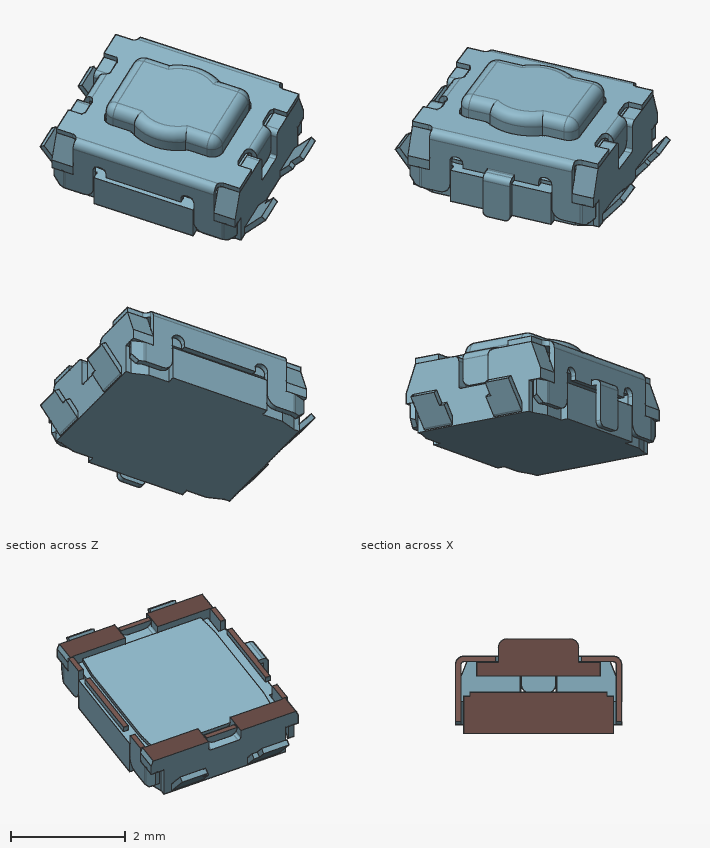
import cadquery as cq
import math

total_length = 4.31
body_length = 3.5
body_width = 2.895
total_height = 1.7
back_overhang = 0.203
cover_height = 1.35
half_length = body_length / 2
half_width = body_width / 2
beyond = total_length

sheet = 0.1
bend_outer = 0.15
bend_inner = bend_outer - sheet
plate_underside = cover_height - sheet
notch_radius = sheet
wall_half_length = 1.345
corner_notch_depth = 0.2
wall_inner = half_width - sheet

leg_bottom = 0.15
leg_inner = 0.96
leg_foot_radius = 0.2
skirt_half_length = 0.715
skirt_bottom = 0.75
relief_top = 0.953

flare_angle = 20.0
flare_start = 1.495
flare_inner_radius = 0.015
flare_chamfer = 0.14

tongue_half_width = 0.3
tongue_bend_start = 1.495
tongue_bottom = 0.705
tongue_corner = 0.15
end_notch_inner = 1.452
end_notch_half_width = 0.75

lug_half_width = 0.255
lug_inner_radius = 0.015
lug_corner = 0.1
lug_outer = half_width + back_overhang
lug_top = skirt_bottom + sheet

button_half_length = 1.1
button_half_width = 0.75
button_bulge_radius = 0.895
button_corner = 0.203
button_edge = 0.2
button_clearance = 0.025
bulge_clearance = 0.05

ear_bottom = 0.56
ear_slope_start = 0.75
ear_slope_inset = corner_notch_depth
floor_half_width = 1.305
floor_edge_top = 0.65
floor_top = 0.72
floor_step_corner = 0.892
floor_step_width = 1.205
floor_step_side = 1.165
corner_flat_width = 1.2
corner_flat_length = 1.645
block_half_length = 0.95

slot_half_width = 0.315
slot_bottom_radius = 0.05
slot_top_radius = 0.1

flange_half_length = 1.495
flange_half_width = 1.078
flange_bottom = 1.0
flange_gap = 0.01
flange_top = plate_underside - flange_gap

terminal_angle = 52.0
terminal_tip_height = 0.535
terminal_bend_radius = 0.12
terminal_outer = 1.05
terminal_step = 0.55
terminal_inner = 0.45
short_arm_tip = 1.995


def block(x0, x1, y0, y1, z0, z1):
    """Axis-aligned box between two opposite corners."""
    return cq.Workplane("XY").box(x1 - x0, y1 - y0, z1 - z0, centered=False).translate((x0, y0, z0))


def centred_block(half_x, half_y, z0, z1):
    """Box centred on the Z axis."""
    return block(-half_x, half_x, -half_y, half_y, z0, z1)


def mirrored_x(shape):
    return shape.union(shape.mirror("YZ"))


def mirrored_y(shape):
    return shape.union(shape.mirror("XZ"))


def bent_sheet(half_span, bottom, half_run):
    """Upside-down U of sheet metal in the YZ plane, run along X to half_run on both sides."""
    outer = (
        cq.Workplane("YZ").rect(2 * half_span, 2 * (cover_height - bottom))
        .extrude(half_run, both=True).edges("|X and >Z").fillet(bend_outer)
    )
    inner = (
        cq.Workplane("YZ").rect(2 * (half_span - sheet), 2 * (plate_underside - bottom))
        .extrude(half_run, both=True).edges("|X and >Z").fillet(bend_inner)
    )
    upper_half = centred_block(beyond, beyond, 0, beyond)
    return outer.cut(inner).intersect(upper_half).translate((0, 0, bottom))


def button_outline(half_length, half_width_y, bulge_radius, z0, z1):
    """Rounded rectangle with a round bulge in the middle of its long sides."""
    height = z1 - z0
    bar = (
        cq.Workplane("XY").workplane(offset=z0).rect(2 * half_length, 2 * half_width_y)
        .extrude(height).edges("|Z").fillet(button_corner)
    )
    bulge = cq.Workplane("XY").workplane(offset=z0).circle(bulge_radius).extrude(height)
    return bar.union(bulge)


def corner_notches():
    """Cut-outs that separate the side walls from the ends of the plate."""
    plate_edge = half_width - corner_notch_depth
    notch = block(wall_half_length, beyond, plate_edge, beyond, 0, beyond)
    notch = notch.edges("|Z and <X and <Y").fillet(notch_radius)
    return mirrored_y(mirrored_x(notch))


def wall_window():
    """Opening between the legs: low middle skirt, round-topped relief slots, rounded feet."""
    skirt_opening = centred_block(leg_inner, beyond, 0, skirt_bottom)
    relief_radius = (leg_inner - skirt_half_length) / 2
    relief_centre = skirt_half_length + relief_radius
    relief_centre_z = relief_top - relief_radius
    relief_end = (
        cq.Workplane("XZ").center(relief_centre, relief_centre_z)
        .circle(relief_radius).extrude(beyond, both=True)
    )
    relief = block(skirt_half_length, leg_inner, -beyond, beyond, 0, relief_centre_z).union(relief_end)
    foot = (
        cq.Workplane("XZ").moveTo(leg_inner, leg_bottom)
        .lineTo(leg_inner + leg_foot_radius, leg_bottom)
        .radiusArc((leg_inner, leg_bottom + leg_foot_radius), leg_foot_radius)
        .close().extrude(beyond, both=True)
    )
    return skirt_opening.union(mirrored_x(relief.union(foot)))


def leg_flare():
    """End of a leg at +X, +Y, bent inward around the base corner."""
    angle = math.radians(flare_angle)
    centre_y = wall_inner - flare_inner_radius
    outer_radius = flare_inner_radius + sheet

    def on_bend(radius, turn):
        return (flare_start + radius * math.sin(turn), centre_y + radius * math.cos(turn))

    outer_end = on_bend(outer_radius, angle)
    inner_end = on_bend(flare_inner_radius, angle)
    run = (half_length - outer_end[0]) / math.cos(angle)
    step = (run * math.cos(angle), -run * math.sin(angle))
    flare = (
        cq.Workplane("XY").workplane(offset=leg_bottom)
        .moveTo(wall_half_length, half_width)
        .lineTo(flare_start, half_width)
        .threePointArc(on_bend(outer_radius, angle / 2), outer_end)
        .lineTo(outer_end[0] + step[0], outer_end[1] + step[1])
        .lineTo(inner_end[0] + step[0], inner_end[1] + step[1])
        .lineTo(*inner_end)
        .threePointArc(on_bend(flare_inner_radius, angle / 2), (flare_start, wall_inner))
        .lineTo(wall_half_length, wall_inner)
        .close().extrude(ear_bottom - leg_bottom)
    )
    corner = (
        cq.Workplane("XZ").moveTo(half_length, leg_bottom)
        .lineTo(half_length - flare_chamfer, leg_bottom)
        .lineTo(half_length, leg_bottom + flare_chamfer)
        .close().extrude(-beyond)
    )
    return flare.cut(corner)


def end_tongues():
    """Strips bent down from both ends of the plate, still wider than the finished tongues."""
    strip_half_width = tongue_half_width + notch_radius
    strip = bent_sheet(tongue_bend_start + bend_outer, tongue_bottom, strip_half_width)
    return strip.rotate((0, 0, 0), (0, 0, 1), 90)


def end_notches():
    """Clearances on both sides of each tongue, rounded at their inner corners."""
    notch = block(end_notch_inner, beyond, tongue_half_width, end_notch_half_width, 0, beyond)
    notch = notch.edges("|Z and <X").fillet(notch_radius)
    return mirrored_y(mirrored_x(notch))


def tongue_corner_cut():
    """Material outside the rounded lower corners of the tongues."""
    corner_top = tongue_bottom + tongue_corner
    strip = centred_block(beyond, tongue_half_width, tongue_bottom, corner_top)
    rounded = centred_block(beyond, tongue_half_width, tongue_bottom, total_height)
    return strip.cut(rounded.edges("|X and <Z").fillet(tongue_corner))


def ground_lug():
    """Lug bent out from the skirt of the +Y wall and down to the mounting plane."""
    outer = block(-lug_half_width, lug_half_width, wall_inner, lug_outer, 0, lug_top)
    outer = outer.edges("|X and >Y and >Z").fillet(lug_inner_radius + sheet)
    inner = block(-lug_half_width, lug_half_width, 0, lug_outer - sheet, 0, skirt_bottom)
    inner = inner.edges("|X and >Y and >Z").fillet(lug_inner_radius)
    return outer.cut(inner).edges("|Y and <Z").fillet(lug_corner)


def make_cover():
    shell = bent_sheet(half_width, leg_bottom, half_length)
    end_cut = block(tongue_bend_start, beyond, -end_notch_half_width, end_notch_half_width, 0, beyond)
    shell = shell.cut(mirrored_x(end_cut)).cut(corner_notches()).cut(wall_window())
    tongues = end_tongues().cut(tongue_corner_cut())
    shell = shell.union(tongues).cut(end_notches())
    shell = shell.union(mirrored_y(mirrored_x(leg_flare()))).union(ground_lug())
    lug_root = cq.selectors.NearestToPointSelector((0, half_width, lug_top))
    shell = shell.edges(lug_root).fillet(lug_inner_radius)
    opening = button_outline(
        button_half_length + button_clearance,
        button_half_width + button_clearance,
        button_bulge_radius + bulge_clearance,
        0,
        beyond,
    )
    return shell.cut(opening)


def floor_slab():
    """Floor with cut-back corners, a raised middle and a block between the legs of each wall."""
    quarter = (
        cq.Workplane("XY")
        .lineTo(half_length, 0)
        .lineTo(half_length, corner_flat_width)
        .lineTo(corner_flat_length, corner_flat_width)
        .lineTo(wall_half_length, floor_half_width)
        .lineTo(0, floor_half_width)
        .close().extrude(ear_bottom)
    )
    raised_quarter = (
        cq.Workplane("XY")
        .lineTo(wall_half_length, 0)
        .lineTo(wall_half_length, floor_step_side)
        .lineTo(floor_step_corner, floor_step_width)
        .lineTo(0, floor_step_width)
        .close().extrude(floor_top)
    )
    slab = mirrored_y(mirrored_x(quarter.union(raised_quarter)))
    slab = slab.union(centred_block(wall_half_length, floor_half_width, 0, floor_edge_top))
    return slab.union(centred_block(block_half_length, half_width, 0, floor_edge_top))


def end_wall():
    """End wall at +X with sloped ears and a slot for the cover tongue."""
    slope_top = half_width - ear_slope_inset
    wall = (
        cq.Workplane("YZ").workplane(offset=wall_half_length)
        .moveTo(-half_width, ear_bottom)
        .lineTo(half_width, ear_bottom)
        .lineTo(half_width, ear_slope_start)
        .lineTo(slope_top, plate_underside)
        .lineTo(-slope_top, plate_underside)
        .lineTo(-half_width, ear_slope_start)
        .close().extrude(half_length - wall_half_length)
    )
    shoulder = slot_half_width + slot_top_radius
    shoulder_z = plate_underside - slot_top_radius
    sill_half_width = slot_half_width - slot_bottom_radius
    sill_z = floor_edge_top + slot_bottom_radius
    slot = (
        cq.Workplane("YZ").workplane(offset=wall_half_length)
        .moveTo(-sill_half_width, floor_edge_top)
        .lineTo(sill_half_width, floor_edge_top)
        .radiusArc((slot_half_width, sill_z), -slot_bottom_radius)
        .lineTo(slot_half_width, shoulder_z)
        .radiusArc((shoulder, plate_underside), slot_top_radius)
        .lineTo(-shoulder, plate_underside)
        .radiusArc((-slot_half_width, shoulder_z), slot_top_radius)
        .lineTo(-slot_half_width, sill_z)
        .radiusArc((-sill_half_width, floor_edge_top), -slot_bottom_radius)
        .close().extrude(half_length - wall_half_length)
    )
    ledge = block(
        wall_half_length, flange_half_length, -flange_half_width, flange_half_width,
        flange_bottom, plate_underside,
    )
    return wall.cut(slot).cut(ledge)


def button():
    """Button with rounded top edges on a flange that spans the end walls."""
    flange = centred_block(flange_half_length, flange_half_width, flange_bottom, flange_top)
    knob = button_outline(
        button_half_length, button_half_width, button_bulge_radius, flange_bottom, total_height
    )
    return knob.faces(">Z").edges().fillet(button_edge).union(flange)


def terminal_arm(tip_x, y0, y1):
    """Upward-bent arm at +X between y0 and y1, its lower tip corner at tip_x."""
    angle = math.radians(terminal_angle)
    root_z = terminal_bend_radius * (1 - math.cos(angle))
    root_x = total_length / 2 - (terminal_tip_height - root_z) / math.tan(angle)
    bend_x = root_x - terminal_bend_radius * math.sin(angle)
    tip_z = root_z + (tip_x - root_x) * math.tan(angle)
    upper_tip = (tip_x - sheet * math.sin(angle), tip_z + sheet * math.cos(angle))
    upper_root = (bend_x, upper_tip[1] - (upper_tip[0] - bend_x) * math.tan(angle))
    arm = (
        cq.Workplane("XZ").moveTo(bend_x, 0)
        .radiusArc((root_x, root_z), -terminal_bend_radius)
        .lineTo(tip_x, tip_z)
        .lineTo(*upper_tip)
        .lineTo(*upper_root)
        .close().extrude(y0 - y1)
    )
    return arm.translate((0, y0, 0))


def terminals():
    """Four stepped solder terminals, two at each end."""
    long_arm = terminal_arm(total_length / 2, terminal_step, terminal_outer)
    short_arm = terminal_arm(short_arm_tip, terminal_inner, terminal_step)
    return mirrored_y(mirrored_x(long_arm.union(short_arm)))


def make_base():
    base = floor_slab().union(mirrored_x(end_wall()))
    return base.union(button()).union(terminals())


cover = make_cover()
base = make_base()

result = cq.Compound.makeCompound([cover.val(), base.val()])